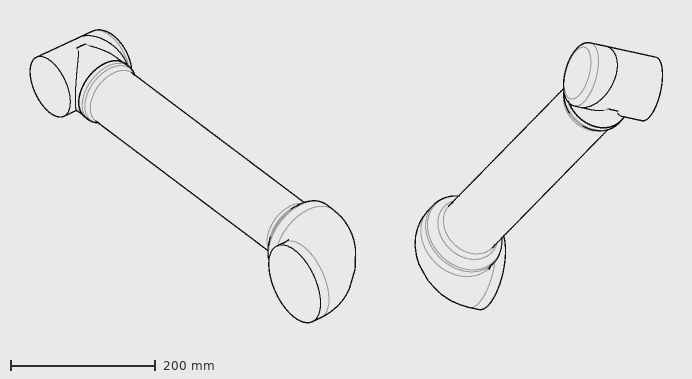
import cadquery as cq
import math


WRIST_RADIUS = 45.0
WRIST_FRONT_Y = -54.5
BRANCH_RADIUS = 46.0
WRIST_COLLAR_RADIUS = 46.5
WRIST_COLLAR_START_X = 53.0
WRIST_COLLAR_END_X = 61.5
WRIST_SHOULDER_LENGTH = 12.0
WRIST_SHOULDER_CREST = 4.0

SEAM_CENTER_Y = 32.0
SEAM_SLOPE_DEG = 21
CAP_TOP_CENTER_Y = 54.5
CAP_TOP_SLOPE_DEG = 5
CAP_EDGE_RADIUS = 8.0

TUBE_RADIUS = 42.0

ELBOW_RADIUS = 58.0
TOTAL_LENGTH = 674.5
ELBOW_AXIS_X = TOTAL_LENGTH - WRIST_RADIUS - ELBOW_RADIUS
ELBOW_FRONT_Y = -73.5
ELBOW_COLLAR_START_X = 493.0
BEND_START_X = 508.5
BEND_END_Y = -59.0
BEND_FLATTENING = 0.054
BEND_SECTION_COUNT = 7
FLARE_ANGLE = math.radians(45)
FLARE_ROOT_RADIUS = 13.5
FLARE_RIM_RADIUS = 5.0


def y_cylinder(x, radius, y_start, y_end):
    """Solid cylinder parallel to Y."""
    return cq.Workplane("XZ", origin=(x, y_start, 0)).circle(radius).extrude(y_start - y_end)


def half_space_above(center_y, slope_deg):
    """Block filling the +Y side of a plane that crosses the wrist axis and rises toward +X."""
    size = 6 * WRIST_RADIUS
    block = cq.Workplane("XY").box(size, size, size).translate((0, size / 2, 0))
    return block.rotate((0, 0, 0), (0, 0, 1), slope_deg).translate((0, center_y, 0))


def make_barrel_and_branch():
    """Wrist barrel below the cap seam, with the branch that leads to the tube."""
    barrel = y_cylinder(0, WRIST_RADIUS, WRIST_FRONT_Y, CAP_TOP_CENTER_Y)
    branch = cq.Workplane("YZ").circle(BRANCH_RADIUS).extrude(WRIST_COLLAR_START_X)
    return barrel.union(branch).cut(half_space_above(SEAM_CENTER_Y, SEAM_SLOPE_DEG))


def make_tube():
    """Tube about X, with the wrist collar and shoulder at one end and a flare and collar at the elbow."""
    drop = WRIST_COLLAR_RADIUS - TUBE_RADIUS
    shoulder_end_x = WRIST_COLLAR_END_X + WRIST_SHOULDER_LENGTH
    crest_x = WRIST_COLLAR_END_X + WRIST_SHOULDER_CREST
    crest_r = WRIST_COLLAR_RADIUS - drop * WRIST_SHOULDER_CREST / WRIST_SHOULDER_LENGTH

    run = math.sin(FLARE_ANGLE)
    rise = 1 - math.cos(FLARE_ANGLE)
    cone_start_r = TUBE_RADIUS + FLARE_ROOT_RADIUS * rise
    cone_end_r = ELBOW_RADIUS - FLARE_RIM_RADIUS * rise
    cone_end_x = ELBOW_COLLAR_START_X - FLARE_RIM_RADIUS * run
    cone_start_x = cone_end_x - (cone_end_r - cone_start_r) / math.tan(FLARE_ANGLE)
    flare_start_x = cone_start_x - FLARE_ROOT_RADIUS * run

    profile = (
        cq.Workplane("XY")
        .moveTo(WRIST_COLLAR_START_X, 0)
        .lineTo(WRIST_COLLAR_START_X, WRIST_COLLAR_RADIUS)
        .lineTo(WRIST_COLLAR_END_X, WRIST_COLLAR_RADIUS)
        .tangentArcPoint((crest_x, crest_r), relative=False)
        .tangentArcPoint((shoulder_end_x, TUBE_RADIUS), relative=False)
        .lineTo(flare_start_x, TUBE_RADIUS)
        .tangentArcPoint((cone_start_x, cone_start_r), relative=False)
        .lineTo(cone_end_x, cone_end_r)
        .tangentArcPoint((ELBOW_COLLAR_START_X, ELBOW_RADIUS), relative=False)
        .lineTo(BEND_START_X, ELBOW_RADIUS)
        .lineTo(BEND_START_X, 0)
        .close()
    )
    return profile.revolve(360, (0, 0, 0), (1, 0, 0))


def bend_section(angle):
    """Elliptical section of the bend, in a plane through the pivot line turned by angle from +Y."""
    blend = math.sin(angle) ** 2
    inner_start = -ELBOW_RADIUS - BEND_END_Y
    inner_end = ELBOW_AXIS_X - ELBOW_RADIUS - BEND_START_X
    inner = inner_start + (inner_end - inner_start) * blend
    outer = inner + 2 * ELBOW_RADIUS
    outer *= 1 - BEND_FLATTENING * math.sin(2 * angle) ** 2
    middle = (inner + outer) / 2
    across = cq.Vector(math.sin(angle), math.cos(angle), 0)
    forward = cq.Vector(math.cos(angle), -math.sin(angle), 0)
    center = cq.Vector(BEND_START_X, BEND_END_Y, 0) + across * middle
    half_width = min(ELBOW_RADIUS, (outer - inner) / 2)
    vertical = cq.Vector(0, 0, 1)
    return cq.Wire.makeEllipse(ELBOW_RADIUS, half_width, center, forward, vertical, closed=False)


def make_elbow():
    """Quarter bend from the tube's collar to the front collar."""
    step = math.pi / 2 / (BEND_SECTION_COUNT - 1)
    sections = [bend_section(index * step) for index in range(BEND_SECTION_COUNT)]
    bend = cq.Workplane(obj=cq.Solid.makeLoft(sections))
    return bend.union(y_cylinder(ELBOW_AXIS_X, ELBOW_RADIUS, BEND_END_Y, ELBOW_FRONT_Y))


def make_arm():
    """First body: wrist barrel, branch, tube and elbow in one piece."""
    return make_barrel_and_branch().union(make_tube()).union(make_elbow())


def make_cap():
    """Second body: cap above the seam, with a sloping top face and a rounded top edge."""
    cap = y_cylinder(0, WRIST_RADIUS, WRIST_FRONT_Y, 2 * CAP_TOP_CENTER_Y)
    cap = cap.cut(half_space_above(CAP_TOP_CENTER_Y, CAP_TOP_SLOPE_DEG))
    cap = cap.faces(">Y").edges().fillet(CAP_EDGE_RADIUS)
    return cap.intersect(half_space_above(SEAM_CENTER_Y, SEAM_SLOPE_DEG))


arm = make_arm()
cap = make_cap()
result = cq.Compound.makeCompound([arm.val(), cap.val()])